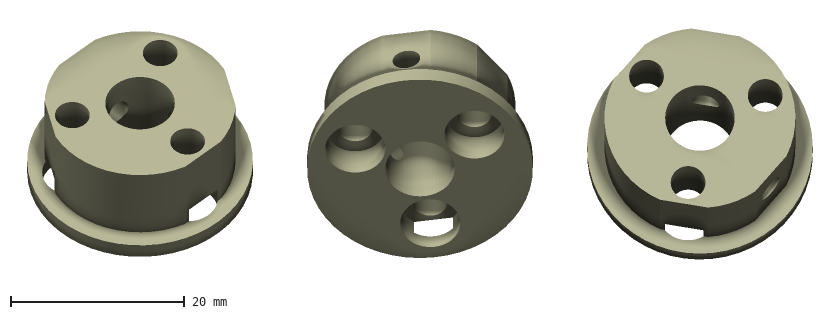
import cadquery as cq

flange_diameter = 26.0
body_diameter = 22.0
total_height = 12.0
flange_height = 2.0

bore_diameter = 8.0
screw_hole_diameter = 4.0
screw_circle_radius = 8.0
counterbore_diameter = 6.95
counterbore_depth = 4.0
screw_angles = (90, 210, 330)

flat_distance = 10.63
flat_angles = (30, 150, 210, 330)
radial_hole_diameter = 3.22
radial_hole_height = 7.0
radial_hole_angles = (30, 150)


def rotate_about_axis(shape, angle):
    """Turn a shape about the part's vertical axis."""
    return shape.rotate((0, 0, 0), (0, 0, 1), angle)


def make_body():
    """Upper cylinder with four vertical flats, standing on z = 0."""
    body = cq.Workplane("XY").circle(body_diameter / 2).extrude(total_height)
    flat_cutter = cq.Workplane("XY").box(
        body_diameter, body_diameter, total_height, centered=(False, True, False)
    ).translate((flat_distance, 0, 0))
    for angle in flat_angles:
        body = body.cut(rotate_about_axis(flat_cutter, angle))
    return body


def make_screw_cutter():
    """Through hole on the +X axis with a counterbore from below."""
    hole = cq.Workplane("XY").center(screw_circle_radius, 0)
    shank = hole.circle(screw_hole_diameter / 2).extrude(total_height)
    head = hole.circle(counterbore_diameter / 2).extrude(counterbore_depth)
    return shank.union(head)


def make_radial_cutter():
    """Horizontal hole running along +X from the axis out through the side."""
    return (
        cq.Workplane("YZ")
        .center(0, radial_hole_height)
        .circle(radial_hole_diameter / 2)
        .extrude(body_diameter / 2)
    )


flange = cq.Workplane("XY").circle(flange_diameter / 2).extrude(flange_height)
result = flange.union(make_body())

result = result.cut(cq.Workplane("XY").circle(bore_diameter / 2).extrude(total_height))

screw_cutter = make_screw_cutter()
for screw_angle in screw_angles:
    result = result.cut(rotate_about_axis(screw_cutter, screw_angle))

radial_cutter = make_radial_cutter()
for radial_angle in radial_hole_angles:
    result = result.cut(rotate_about_axis(radial_cutter, radial_angle))